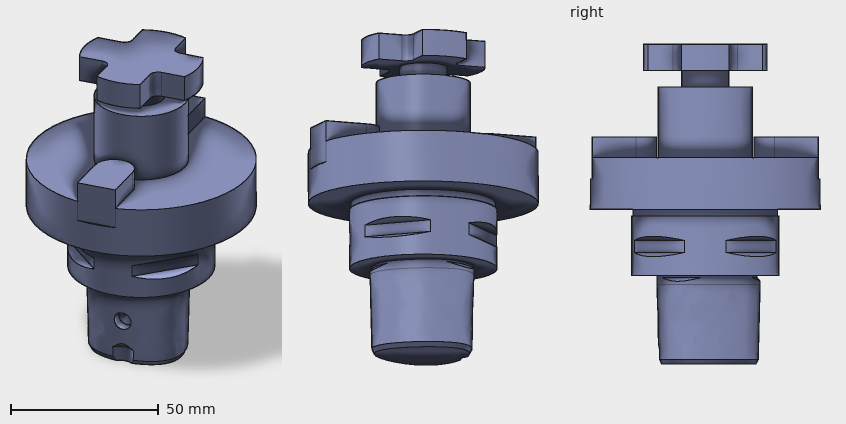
import math

import cadquery as cq


shank_length = 30.0
shank_mean_radius = 17.5
lobe_height = 1.12
straight_length = 3.0
taper_per_side = 1 / 40
chamfer_height = 1.65
chamfer_width = 0.85
outline_point_count = 72

relief_radius = 17.65
relief_flat = 0.7
relief_depth = 1.9

dimple_diameter = 6.2
dimple_z = -14.0
dimple_wall_depth = 4.0
dimple_point_angle = 118.0
notch_diameter = 10.0
notch_axis_offset = 3.0
notch_height = 5.3
notch_point_angle = 90.0

body_diameter = 50.0
body_height = 20.2
neck_groove_diameter = 49.1
flange_diameter = 78.0
flange_bottom = 22.5
flange_top = 40.0
arbor_diameter = 32.0
arbor_height = 24.0
stud_diameter = 16.0
stud_height = 5.5

slot_count = 4
first_slot_angle = 45.0
slot_z = 9.9
slot_floor_distance = 21.92
slot_floor_height = 4.0
slot_flank_angle = 25.0

key_width = 14.0
key_height = 14.2
key_top = flange_top + 7.0
key_inner_distance = 16.5

head_diameter = 42.0
head_thickness = 9.0
head_arm_width = 16.0
head_corner_radius = 3.0

flange_radius = flange_diameter / 2
body_radius = body_diameter / 2
arbor_top = flange_top + arbor_height
head_bottom = arbor_top + stud_height
key_outer_distance = math.sqrt(flange_radius**2 - (key_width / 2) ** 2)
cut_margin = 5.0


def cylinder(diameter, bottom, top):
    return cq.Workplane("XY").workplane(offset=bottom).circle(diameter / 2).extrude(top - bottom)


def turned(shape, angle):
    """Copy of a shape turned about the Z axis."""
    return shape.rotate((0, 0, 0), (0, 0, 1), angle)


def drill_cutter(diameter, wall_depth, point_angle):
    """Drill pointing to +Z, with its shoulder wall_depth above the XY plane."""
    radius = diameter / 2
    point_length = radius / math.tan(math.radians(point_angle / 2))
    profile = [
        (0, -cut_margin),
        (radius, -cut_margin),
        (radius, wall_depth),
        (0, wall_depth + point_length),
    ]
    return cq.Workplane("XZ").polyline(profile).close().revolve(360, (0, 0), (0, 1))


def lobed_wire(mean_radius, z):
    """Closed three-lobed curve, starting at the flat on the -Y side."""
    points = []
    for i in range(outline_point_count):
        angle = 2 * math.pi * i / outline_point_count
        x = mean_radius * math.sin(angle) + lobe_height * math.sin(2 * angle)
        y = -mean_radius * math.cos(angle) + lobe_height * math.cos(2 * angle)
        points.append(cq.Vector(x, y, z))
    return cq.Wire.assembleEdges([cq.Edge.makeSpline(points, periodic=True)])


def make_shank():
    chamfer_top = chamfer_height - shank_length
    taper_length = shank_length - straight_length - chamfer_height
    tip_radius = shank_mean_radius - taper_length * taper_per_side
    sections = [
        lobed_wire(shank_mean_radius, 0),
        lobed_wire(shank_mean_radius, -straight_length),
        lobed_wire(tip_radius, chamfer_top),
        lobed_wire(tip_radius - chamfer_width, -shank_length),
    ]
    shank = cq.Workplane("XY")
    for upper, lower in zip(sections, sections[1:]):
        shank = shank.add(cq.Solid.makeLoft([upper, lower], True))
    return shank.combine().cut(make_relief()).cut(make_dimple()).cut(make_notch())


def make_relief():
    lobe_radius = shank_mean_radius + lobe_height
    profile = [
        (relief_radius, 0),
        (body_radius, 0),
        (body_radius, -relief_depth),
        (lobe_radius, -relief_depth),
        (relief_radius, -relief_flat),
    ]
    return cq.Workplane("XZ").polyline(profile).close().revolve(360, (0, 0), (0, 1))


def shank_flat_distance(z):
    """Distance from the axis to the -Y side of the tapered shank at height z."""
    return shank_mean_radius - lobe_height + (z + straight_length) * taper_per_side


def make_dimple():
    drill = drill_cutter(dimple_diameter, dimple_wall_depth, dimple_point_angle)
    return drill.rotate((0, 0, 0), (1, 0, 0), -90).translate((0, -shank_flat_distance(dimple_z), dimple_z))


def make_notch():
    drill = drill_cutter(notch_diameter, notch_height, notch_point_angle)
    axis_distance = shank_flat_distance(notch_height - shank_length) + notch_axis_offset
    return drill.translate((0, -axis_distance, -shank_length))


def make_body():
    body = cylinder(body_diameter, 0, body_height)
    body = body.union(cylinder(neck_groove_diameter, body_height, flange_bottom))
    body = body.union(cylinder(flange_diameter, flange_bottom, flange_top))
    body = body.union(cylinder(arbor_diameter, flange_top, arbor_top))
    return body.union(cylinder(stud_diameter, arbor_top, head_bottom))


def make_gripper_slot():
    """V-flanked slot across the +X side of the body."""
    outer = body_radius + cut_margin
    floor_half = slot_floor_height / 2
    mouth_half = floor_half + (outer - slot_floor_distance) * math.tan(math.radians(slot_flank_angle))
    profile = [
        (slot_floor_distance, slot_z - floor_half),
        (outer, slot_z - mouth_half),
        (outer, slot_z + mouth_half),
        (slot_floor_distance, slot_z + floor_half),
    ]
    return cq.Workplane("XZ").polyline(profile).close().extrude(body_radius, both=True)


def make_key():
    """Key on the -Y side, round at its inner end and flat at the flange rim."""
    half_width = key_width / 2
    straight_end = -(key_inner_distance + half_width)
    return (
        cq.Workplane("XY")
        .workplane(offset=key_top - key_height)
        .moveTo(-half_width, -key_outer_distance)
        .lineTo(half_width, -key_outer_distance)
        .lineTo(half_width, straight_end)
        .threePointArc((0, -key_inner_distance), (-half_width, straight_end))
        .close()
        .extrude(key_height)
    )


def make_key_rim_cut():
    """Trims the flange rim flush with the outer end of the key on the -Y side."""
    return (
        cq.Workplane("XY")
        .workplane(offset=key_top - key_height)
        .center(0, -key_outer_distance - cut_margin / 2)
        .rect(key_width, cut_margin)
        .extrude(key_height)
    )


def make_head():
    cross = cq.Workplane("XY").rect(head_diameter, head_arm_width).extrude(head_thickness)
    cross = cross.union(cq.Workplane("XY").rect(head_arm_width, head_diameter).extrude(head_thickness))
    reach = head_arm_width / 2 + head_corner_radius
    inner_edges = cq.selectors.BoxSelector(
        (-reach, -reach, 0),
        (reach, reach, head_thickness),
    )
    cross = cross.edges("|Z").edges(inner_edges).fillet(head_corner_radius)
    return cross.intersect(cylinder(head_diameter, 0, head_thickness)).translate((0, 0, head_bottom))


result = make_body().union(make_shank()).union(make_head())

for slot_index in range(slot_count):
    slot_angle = first_slot_angle + slot_index * 360 / slot_count
    result = result.cut(turned(make_gripper_slot(), slot_angle))

for key_angle in (0, 180):
    result = result.cut(turned(make_key_rim_cut(), key_angle))
    result = result.union(turned(make_key(), key_angle))